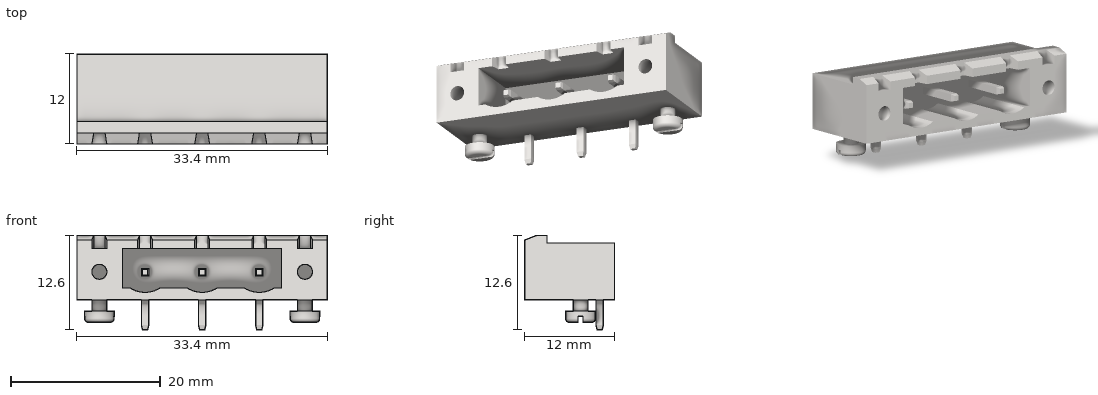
import cadquery as cq

body_width = 33.44
body_depth = 12.0
body_height = 7.6
lip_top = 8.6
lip_depth = 3.0
lip_bevel_depth = 1.5
lip_bevel_drop = 0.6

pole_pitch = 7.62
pole_xs = [index * pole_pitch for index in (-1, 0, 1)]

pocket_width = 21.24
pocket_floor = 1.6
pocket_top = 6.85
pocket_depth = 9.0
trough_width = 4.0
trough_sag = 0.6

flange_inset = 3.0
flange_x = body_width / 2 - flange_inset
insert_diameter = 4.0
insert_bore = 2.0
insert_depth = 6.0
insert_axis_height = 3.75

notch_front_width = 2.0
notch_rear_width = 1.5

pin_size = 1.0
pin_tip_size = 0.7
pin_tip_length = 0.6
pin_end_y = 2.2
pin_axis_height = 3.7
pin_leg_inset = 2.0
pin_leg_y = body_depth - pin_leg_inset
pin_leg_length = 4.0

screw_y = 7.45
shank_diameter = 2.0
shank_length = 1.5
shank_embed = 1.0
head_diameter = 4.0
head_height = 1.5
head_round = 0.5
slot_width = 0.65
slot_depth = 0.8


def make_housing():
    """Side profile with the raised, bevelled front lip, extruded along X."""
    return (
        cq.Workplane("YZ")
        .moveTo(0, 0)
        .lineTo(body_depth, 0)
        .lineTo(body_depth, body_height)
        .lineTo(lip_depth, body_height)
        .lineTo(lip_depth, lip_top)
        .lineTo(lip_bevel_depth, lip_top)
        .lineTo(0, lip_top - lip_bevel_drop)
        .close()
        .extrude(body_width / 2, both=True)
    )


def make_pocket():
    """Rectangular mating opening whose floor dips in an arc below each contact."""
    half_width = pocket_width / 2
    outline = cq.Workplane("XZ").moveTo(-half_width, pocket_floor)
    for x in pole_xs:
        outline = outline.lineTo(x - trough_width / 2, pocket_floor).threePointArc(
            (x, pocket_floor - trough_sag), (x + trough_width / 2, pocket_floor)
        )
    return (
        outline.lineTo(half_width, pocket_floor)
        .lineTo(half_width, pocket_top)
        .lineTo(-half_width, pocket_top)
        .close()
        .extrude(-pocket_depth)
    )


def make_notch(x):
    """Tapered coding notch, as deep as the lip bevel and down to the pocket top."""
    front = notch_front_width / 2
    rear = notch_rear_width / 2
    return (
        cq.Workplane("XY", origin=(x, 0, pocket_top))
        .polyline([(-front, 0), (front, 0), (rear, lip_bevel_depth), (-rear, lip_bevel_depth)])
        .close()
        .extrude(lip_top - pocket_top)
    )


def make_flange_cylinder(x, diameter):
    """Cylinder in an end flange, from the mating face to the insert depth."""
    return (
        cq.Workplane("XZ", origin=(x, 0, insert_axis_height))
        .circle(diameter / 2)
        .extrude(-insert_depth)
    )


def make_insert(x):
    """Sleeve flush with the mating face, bored over its full length."""
    return make_flange_cylinder(x, insert_diameter).cut(make_flange_cylinder(x, insert_bore))


def make_pin_bar(plane, length):
    """Square bar along the plane normal, tapered over its last stretch."""
    straight_length = length - pin_tip_length
    straight = cq.Workplane(plane).rect(pin_size, pin_size).extrude(straight_length)
    tip = (
        cq.Workplane(plane)
        .workplane(offset=straight_length)
        .rect(pin_size, pin_size)
        .workplane(offset=pin_tip_length)
        .rect(pin_tip_size, pin_tip_size)
        .loft(ruled=True)
    )
    return straight.union(tip)


def make_pin(x):
    """Right-angle contact: one arm into the pocket, one leg below the housing."""
    arm_start = (x, pin_leg_y + pin_size / 2, pin_axis_height)
    leg_start = (x, pin_leg_y, pin_axis_height + pin_size / 2)
    arm = make_pin_bar(cq.Plane(arm_start, (1, 0, 0), (0, -1, 0)), arm_start[1] - pin_end_y)
    leg = make_pin_bar(cq.Plane(leg_start, (1, 0, 0), (0, 0, -1)), leg_start[2] + pin_leg_length)
    return arm.union(leg)


def make_screw(x):
    """Slotted cheese-head screw entering the seating face from below."""
    head_bottom = -shank_length - head_height
    head = (
        cq.Workplane("XY", origin=(x, screw_y, head_bottom))
        .circle(head_diameter / 2)
        .extrude(head_height)
        .faces("<Z")
        .edges()
        .fillet(head_round)
    )
    slot = cq.Workplane("XY", origin=(x, screw_y, head_bottom)).box(
        head_diameter, slot_width, slot_depth, centered=(True, True, False)
    )
    shank = (
        cq.Workplane("XY", origin=(x, screw_y, -shank_length))
        .circle(shank_diameter / 2)
        .extrude(shank_length + shank_embed)
    )
    return head.cut(slot).union(shank)


result = make_housing().cut(make_pocket())

for notch_x in [-flange_x, *pole_xs, flange_x]:
    result = result.cut(make_notch(notch_x))

for pole_x in pole_xs:
    result = result.union(make_pin(pole_x))

for side_x in (-flange_x, flange_x):
    result = result.union(make_screw(side_x))

for side_x in (-flange_x, flange_x):
    result = result.cut(make_flange_cylinder(side_x, insert_diameter))

for side_x in (-flange_x, flange_x):
    result = result.union(make_insert(side_x), clean=False)